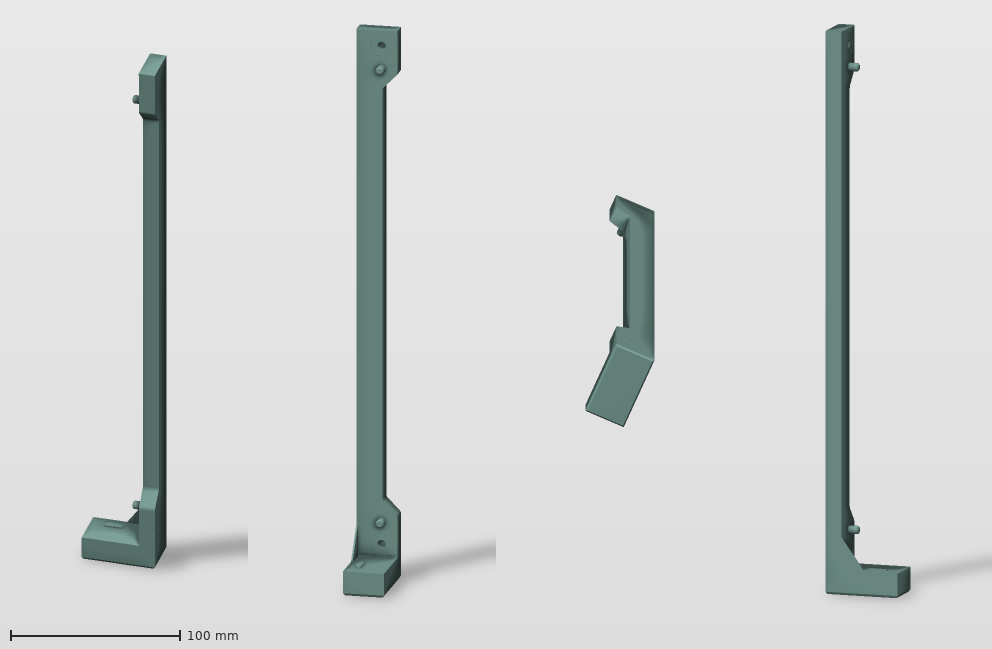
import cadquery as cq
import math

length = 45.0
width = 24.8
height = 338.6

column_thickness = 10.0
column_face_x = length - column_thickness
foot_height = 15.0
bottom_chamfer_height = 1.5
bottom_chamfer_inset = 1.0

relief_diameter = 2.5
relief_offset = relief_diameter / 2 * math.sqrt(0.5)

waist_y = 8.8
lower_taper_z = 41.0
upper_taper_z = 311.8
taper_radius = 3.0

rim_width = 1.0
top_rim_height = 1.3
foot_face_depth = 0.1
foot_face_z = foot_height - foot_face_depth
mount_face_depth = 0.2
waist_face_depth = 0.1
lower_mount_top_z = 45.5
upper_mount_bottom_z = 310.0

gusset_thickness = rim_width
gusset_run = 14.0
gusset_rise = 19.5

hole_y = 9.5
hole_diameter = 5.0
hole_depth = 8.0
drill_point_depth = 2.5
spotface_diameter = 14.0
spotface_depth = 0.4
lower_hole_z = 23.0
upper_hole_z = 329.0
pin_diameter = 5.0
pin_protrusion = 6.0
pin_socket_depth = 8.0
pin_chamfer = 0.8
pin_z_positions = [36.8, 315.0]

pad_start_x = 9.2
pad_end_x = 20.4
pad_front_y = 16.2
pad_side_length = 2.7
pad_depth = 4.2
pad_height = 0.8


def make_blank():
    upper_foot_height = foot_height - bottom_chamfer_height
    foot = cq.Workplane("XY", origin=(0, 0, bottom_chamfer_height)).box(
        length, width, upper_foot_height, centered=False
    )
    foot_base = (
        cq.Workplane("XY", origin=(length / 2, width / 2, 0))
        .rect(length - 2 * bottom_chamfer_inset, width - 2 * bottom_chamfer_inset)
        .workplane(offset=bottom_chamfer_height)
        .rect(length, width)
        .loft(ruled=True)
    )
    foot = foot.union(foot_base)
    column = (
        cq.Workplane("YZ", origin=(column_face_x, 0, 0))
        .moveTo(0, foot_height)
        .lineTo(width, foot_height)
        .lineTo(width, height)
        .lineTo(0, height)
        .lineTo(0, upper_taper_z)
        .lineTo(waist_y, upper_taper_z - waist_y)
        .lineTo(waist_y, lower_taper_z + waist_y)
        .lineTo(0, lower_taper_z)
        .close()
        .extrude(column_thickness)
    )
    selection_margin = 1.0
    taper_corners = cq.selectors.BoxSelector(
        (column_face_x, -selection_margin, lower_taper_z - selection_margin),
        (length, waist_y + selection_margin, upper_taper_z + selection_margin),
    )
    column = column.edges("|X").edges(taper_corners).fillet(taper_radius)
    return foot.union(column)


def make_gusset():
    return (
        cq.Workplane("XZ", origin=(0, width, 0))
        .moveTo(column_face_x, foot_height)
        .lineTo(column_face_x, foot_height + gusset_rise)
        .lineTo(column_face_x - gusset_run, foot_height)
        .close()
        .extrude(gusset_thickness)
    )


def make_foot_pad():
    side_end_y = pad_front_y + pad_side_length
    bow_peak = ((pad_start_x + pad_end_x) / 2, pad_front_y + pad_depth)
    return (
        cq.Workplane("XY", origin=(0, 0, foot_face_z))
        .moveTo(pad_start_x, side_end_y)
        .lineTo(pad_start_x, pad_front_y)
        .lineTo(pad_end_x, pad_front_y)
        .lineTo(pad_end_x, side_end_y)
        .threePointArc(bow_peak, (pad_start_x, side_end_y))
        .close()
        .extrude(pad_height)
    )


def column_face_cut(bottom_z, top_z, depth):
    return cq.Workplane("XY", origin=(column_face_x, 0, bottom_z)).box(
        depth, width - rim_width, top_z - bottom_z, centered=False
    )


def foot_face_cut():
    return cq.Workplane("XY", origin=(0, 0, foot_face_z)).box(
        column_face_x, width - rim_width, foot_face_depth, centered=False
    )


def make_corner_relief():
    return (
        cq.Workplane("XZ", origin=(column_face_x - relief_offset, 0, foot_height + relief_offset))
        .circle(relief_diameter / 2)
        .extrude(-(width - gusset_thickness))
    )


def x_cylinder(diameter, start_x, depth, z):
    return cq.Workplane("YZ", origin=(start_x, hole_y, z)).circle(diameter / 2).extrude(depth)


def make_drill_point(z):
    tip_base = cq.Vector(column_face_x + hole_depth, hole_y, z)
    return cq.Solid.makeCone(hole_diameter / 2, 0, drill_point_depth, pnt=tip_base, dir=cq.Vector(1, 0, 0))


def make_frame():
    body = make_blank().union(make_gusset())
    body = body.cut(foot_face_cut())
    body = body.cut(column_face_cut(foot_height, lower_mount_top_z, mount_face_depth))
    body = body.cut(column_face_cut(lower_mount_top_z, upper_mount_bottom_z, waist_face_depth))
    body = body.cut(column_face_cut(upper_mount_bottom_z, height - top_rim_height, mount_face_depth))
    body = body.cut(make_corner_relief())
    body = body.union(make_foot_pad())
    for z in (lower_hole_z, upper_hole_z):
        body = body.cut(x_cylinder(hole_diameter, column_face_x, hole_depth, z))
        body = body.cut(x_cylinder(spotface_diameter, column_face_x, spotface_depth, z))
    body = body.cut(cq.Workplane(make_drill_point(lower_hole_z)))
    for z in pin_z_positions:
        body = body.cut(x_cylinder(pin_diameter, column_face_x, pin_socket_depth, z))
    return body


def make_pin(z):
    pin = x_cylinder(pin_diameter, column_face_x - pin_protrusion, pin_protrusion + pin_socket_depth, z)
    return pin.faces("<X").chamfer(pin_chamfer)


frame = make_frame()
pins = [make_pin(z) for z in pin_z_positions]
result = cq.Compound.makeCompound([frame.val(), *[pin.val() for pin in pins]])